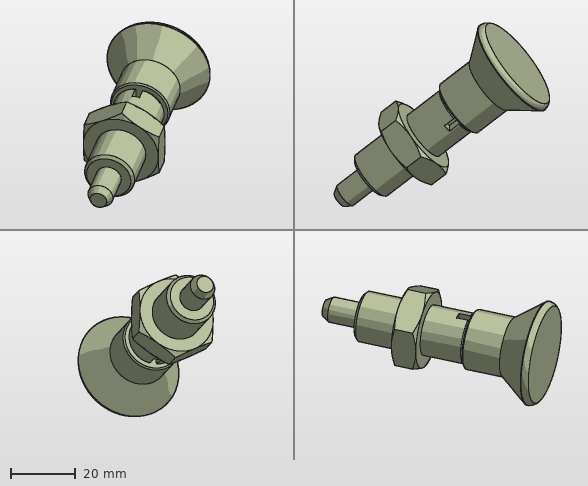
import cadquery as cq
import math


total_length = 72.0
knob_end_y = total_length / 2
tip_y = -total_length / 2

rim_radius = 33.0 / 2
collar_radius = 19.0 / 2
rim_height = 2.0
lip_thickness = 0.2
lip_step = 0.1
rim_round_inset = 1.1
rim_round_radius = (rim_round_inset**2 + rim_height**2) / (2 * rim_round_inset)
cone_end_depth = 11.5
knob_length = 24.0
collar_chamfer = 0.5

body_radius = 16.0 / 2
pin_projection = 12.0
body_end_chamfer = 0.92
body_top_chamfer = 0.75

pin_radius = 8.0 / 2
pin_chamfer_length = 2.3
pin_chamfer_angle = math.radians(30)

nut_across_flats = 24.0
nut_thickness = 8.0
nut_distance_from_body_end = 14.0
nut_chamfer_angle = math.radians(30)

slot_width = 2.4
slot_length = 4.5

knob_face_y = knob_end_y - knob_length
rim_y = knob_end_y - rim_height
lip_y = rim_y - lip_thickness
cone_end_y = knob_end_y - cone_end_depth
body_end_y = tip_y + pin_projection
nut_start_y = body_end_y + nut_distance_from_body_end


def revolve_about_y(half_profile):
    """Revolve a closed half profile (x = radius, y = axial) about the Y axis."""
    return half_profile.close().revolve(360, (0, 0, 0), (0, 1, 0))


def make_knob():
    """Flared knob with a thin lip, a rounded rim above it and a cylindrical collar."""
    round_start_radius = rim_radius - lip_step
    face_radius = round_start_radius - rim_round_inset
    profile = (
        cq.Workplane("XY")
        .moveTo(0, knob_face_y)
        .lineTo(collar_radius - collar_chamfer, knob_face_y)
        .lineTo(collar_radius, knob_face_y + collar_chamfer)
        .lineTo(collar_radius, cone_end_y)
        .lineTo(rim_radius, lip_y)
        .lineTo(rim_radius, rim_y)
        .lineTo(round_start_radius, rim_y)
        .radiusArc((face_radius, knob_end_y), -rim_round_radius)
        .lineTo(0, knob_end_y)
    )
    return revolve_about_y(profile)


def make_body():
    """Cylindrical body chamfered at both ends, slotted across beside the knob."""
    profile = (
        cq.Workplane("XY")
        .moveTo(0, body_end_y)
        .lineTo(body_radius - body_end_chamfer, body_end_y)
        .lineTo(body_radius, body_end_y + body_end_chamfer)
        .lineTo(body_radius, knob_face_y - body_top_chamfer)
        .lineTo(body_radius - body_top_chamfer, knob_face_y)
        .lineTo(0, knob_face_y)
    )
    body = revolve_about_y(profile)
    slot_center_y = knob_face_y - slot_length / 2
    slot = cq.Workplane("XY").box(slot_width, slot_length, 2 * body_radius)
    return body.cut(slot.translate((0, slot_center_y, 0)))


def make_pin():
    """Locking pin with a tapered tip, running through the body up to the knob."""
    tip_radius = pin_radius - pin_chamfer_length * math.tan(pin_chamfer_angle)
    profile = (
        cq.Workplane("XY")
        .moveTo(0, tip_y)
        .lineTo(tip_radius, tip_y)
        .lineTo(pin_radius, tip_y + pin_chamfer_length)
        .lineTo(pin_radius, knob_face_y)
        .lineTo(0, knob_face_y)
    )
    return revolve_about_y(profile)


def make_nut():
    """Hexagon nut with corners up and down, trimmed by a cone on both faces."""
    corner_radius = nut_across_flats / 2 / math.cos(math.pi / 6)
    face_radius = nut_across_flats / 2
    cone_drop = (corner_radius - face_radius) * math.tan(nut_chamfer_angle)
    nut_end_y = nut_start_y + nut_thickness
    hexagon = (
        cq.Workplane("XZ", origin=(0, nut_end_y, 0))
        .polygon(6, 2 * corner_radius)
        .extrude(nut_thickness)
        .rotate((0, 0, 0), (0, 1, 0), 30)
    )
    envelope = revolve_about_y(
        cq.Workplane("XY")
        .moveTo(0, nut_start_y)
        .lineTo(face_radius, nut_start_y)
        .lineTo(corner_radius, nut_start_y + cone_drop)
        .lineTo(corner_radius, nut_end_y - cone_drop)
        .lineTo(face_radius, nut_end_y)
        .lineTo(0, nut_end_y)
    )
    return hexagon.intersect(envelope)


result = make_body().union(make_knob()).union(make_pin()).union(make_nut())